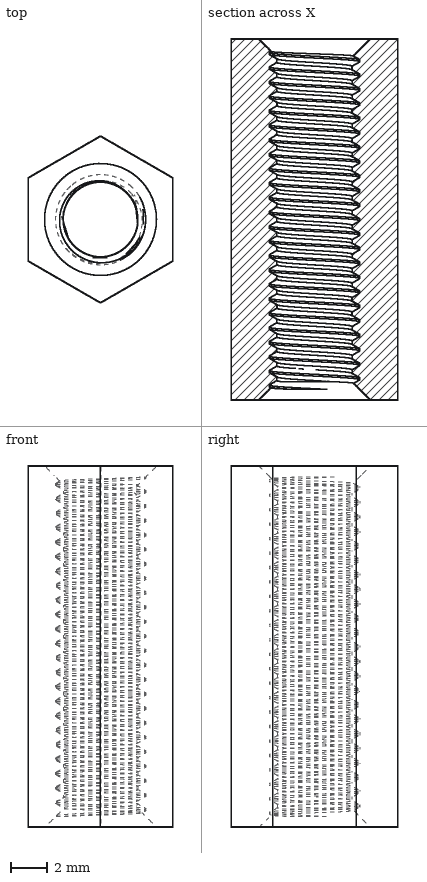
import cadquery as cq
import math

length = 20.0
across_flats = 8.0
across_corners = across_flats / math.cos(math.pi / 6)
corner_angle = 30.0

major_diameter = 5.0
pitch = 0.8
sharp_height = pitch * math.sqrt(3) / 2
minor_radius = major_diameter / 2 - sharp_height * 5 / 8
root_width = pitch / 8
mouth_width = pitch * 3 / 4
phase_angle = 25.0
phase_height = 19.45

countersink_diameter = 6.2


def hex_body():
    return (
        cq.Workplane("XY")
        .polygon(6, across_corners)
        .extrude(length)
        .rotate((0, 0, 0), (0, 0, 1), corner_angle)
    )


def countersunk_bore():
    """Solid of revolution: plain bore flaring out at both ends."""
    mouth_radius = countersink_diameter / 2
    depth = mouth_radius - minor_radius
    return (
        cq.Workplane("XZ")
        .moveTo(0, 0)
        .lineTo(mouth_radius, 0)
        .lineTo(minor_radius, depth)
        .lineTo(minor_radius, length - depth)
        .lineTo(mouth_radius, length)
        .lineTo(0, length)
        .close()
        .revolve(360, (0, 0, 0), (0, 1, 0))
    )


def thread_groove():
    """Trapezoidal helical cutter, its mouth carried slightly into the bore."""
    overlap = 0.05
    inner_radius = minor_radius - overlap
    outer_radius = major_diameter / 2
    half_root = root_width / 2
    half_inner = mouth_width / 2 + overlap * math.tan(math.pi / 6)
    profile = [
        (inner_radius, -half_inner),
        (outer_radius, -half_root),
        (outer_radius, half_root),
        (inner_radius, half_inner),
    ]
    turns = math.ceil(length / pitch) + 1
    rails = [
        cq.Wire.makeHelix(pitch, turns * pitch, radius).translate(cq.Vector(0, 0, height))
        for radius, height in profile
    ]
    faces = []
    for index, rail in enumerate(rails):
        faces.extend(cq.Face.makeRuledSurface(rails[index - 1], rail).Faces())
    for end in (0, 1):
        corners = [rail.positionAt(end) for rail in rails]
        faces.append(cq.Face.makeFromWires(cq.Wire.makePolygon(corners, close=True)))
    groove = cq.Solid.makeSolid(cq.Shell.makeShell(faces))
    start_height = phase_height - (turns - 1) * pitch
    groove = groove.rotate(cq.Vector(), cq.Vector(0, 0, 1), phase_angle)
    return cq.Workplane(obj=groove.translate(cq.Vector(0, 0, start_height)))


def tap():
    """Bore cylinder joined with the groove, reaching past both ends of the body."""
    end_clearance = 2.0
    core = (
        cq.Workplane("XY")
        .workplane(offset=-end_clearance)
        .circle(minor_radius)
        .extrude(length + 2 * end_clearance)
    )
    return core.val().fuse(thread_groove().val())


blank = hex_body().cut(countersunk_bore())
result = cq.Workplane(obj=blank.val().cut(tap()))